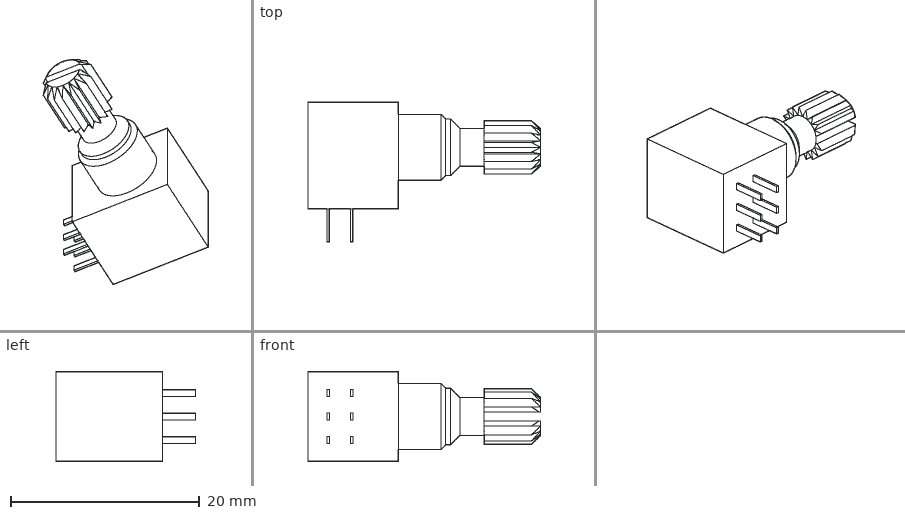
import cadquery as cq
import math

housing_length = 9.6
housing_depth = 11.3
housing_height = 9.5
axis_to_back = 4.78
front_y = axis_to_back - housing_depth

bushing_radius = 3.5
collar_radius = 3.0
shaft_radius = 2.02
bushing_end = 14.1
collar_start = bushing_end + bushing_radius - collar_radius
collar_end = 15.1
cone_end = collar_end + collar_radius - shaft_radius

total_length = 24.65
knob_start = 18.65
knob_length = total_length - knob_start
knob_radius = 3.0
tooth_count = 18
slot_width = 0.94

pin_length = 3.5
pin_width = 0.25
pin_height = 0.75
pin_pitch = 2.5
first_pin_x = 2.15
pin_columns = 2
pin_rows = 3


def make_housing():
    return (
        cq.Workplane("XY")
        .box(housing_length, housing_depth, housing_height, centered=(False, False, True))
        .translate((0, front_y, 0))
    )


def revolve_about_axis(profile):
    return cq.Workplane("XY").polyline(profile).close().revolve(360, (0, 0, 0), (1, 0, 0))


def make_bushing_and_shaft():
    return revolve_about_axis([
        (housing_length, 0),
        (housing_length, bushing_radius),
        (bushing_end, bushing_radius),
        (collar_start, collar_radius),
        (collar_end, collar_radius),
        (cone_end, shaft_radius),
        (knob_start, shaft_radius),
        (knob_start, 0),
    ])


def make_knob():
    outline = []
    for i in range(2 * tooth_count):
        angle = math.pi * i / tooth_count
        radius = shaft_radius if i % 2 else knob_radius
        outline.append((radius * math.cos(angle), radius * math.sin(angle)))
    splines = cq.Workplane("YZ", origin=(knob_start, 0, 0)).polyline(outline).close().extrude(knob_length)

    taper_length = knob_radius - shaft_radius
    envelope = revolve_about_axis([
        (knob_start, 0),
        (knob_start, knob_radius),
        (total_length - taper_length, knob_radius),
        (total_length, shaft_radius),
        (total_length, 0),
    ])

    slot = (
        cq.Workplane("XY")
        .box(knob_length, 2 * knob_radius, slot_width, centered=(False, True, True))
        .translate((knob_start, 0, 0))
    )
    return splines.intersect(envelope).cut(slot)


def make_pins():
    pins = cq.Workplane("XY")
    for column in range(pin_columns):
        for row in range(pin_rows):
            x = first_pin_x + column * pin_pitch
            z = (row - (pin_rows - 1) / 2) * pin_pitch
            pin = cq.Workplane("XY").box(pin_width, pin_length, pin_height)
            pins = pins.add(pin.translate((x, front_y - pin_length / 2, z)))
    return pins.combine()


result = make_housing().union(make_bushing_and_shaft()).union(make_knob()).union(make_pins())